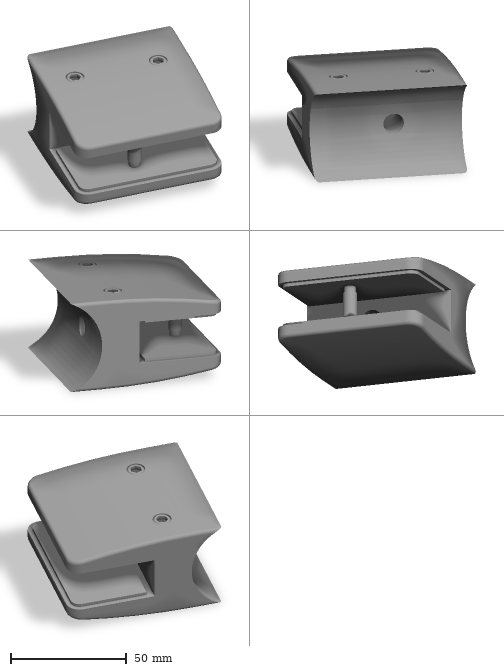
import cadquery as cq
import math

length = 68.65
width = 67.0
height = 40.0
half_height = height / 2

saddle_depth = 13.7
crown_start = saddle_depth
crown_drop = 5.15
corner_radius = 6.0
edge_radius = 1.5

gap_start = 30.55
gap_height = 19.2
half_gap = gap_height / 2

pad_thickness = 1.45
pad_start = 33.6
pad_margin = 2.0
pad_corner_radius = corner_radius - pad_margin

bore_diameter = 9.0
pin_x = 55.6
bore_y = -3.4
pin_diameter = 5.0
pin_length = gap_height - 2 * pad_thickness
collar_diameter = 6.0
collar_length = 10.9

screw_x = 22.7
screw_spacing = 38.05
screw_diameter = 8.0
screw_top = 19.85
screw_length = screw_top
screw_chamfer = 0.7
socket_corner_diameter = 5.3
socket_depth = 2.0
socket_turn = 10.0
screw_sides = (-1, 1)


def crown_radius():
    """Radius of the arc that leaves the flat tangentially and falls by crown_drop."""
    run = length - crown_start
    return (run**2 + crown_drop**2) / (2 * crown_drop)


def crown_height(x):
    """Half height of the clamp on its crown at the given X."""
    radius = crown_radius()
    return half_height - radius + math.sqrt(radius**2 - (x - crown_start) ** 2)


def screw_y(side):
    return side * screw_spacing / 2


def box_between(x_start, x_end, y_size, z_start, z_end):
    """Box centred on Y = 0."""
    return (
        cq.Workplane("XY", origin=((x_start + x_end) / 2, 0, z_start))
        .rect(x_end - x_start, y_size)
        .extrude(z_end - z_start)
    )


def upright_cylinder(x, y, diameter, z_start, z_end):
    return cq.Workplane("XY", origin=(x, y, z_start)).circle(diameter / 2).extrude(z_end - z_start)


def crowned_block():
    """Block with crowned top and bottom, rounded corners and rounded outside edges."""
    crown_mid_x = (crown_start + length) / 2
    crown_mid_z = crown_height(crown_mid_x)
    end_z = half_height - crown_drop
    block = (
        cq.Workplane("XZ", origin=(0, width / 2, 0))
        .moveTo(0, -half_height)
        .lineTo(crown_start, -half_height)
        .threePointArc((crown_mid_x, -crown_mid_z), (length, -end_z))
        .lineTo(length, end_z)
        .threePointArc((crown_mid_x, crown_mid_z), (crown_start, half_height))
        .lineTo(0, half_height)
        .close()
        .extrude(width)
    )
    block = block.edges("|Z and >X").fillet(corner_radius)
    for side in (-1, 1):
        start_edge = cq.selectors.NearestToPointSelector((crown_start / 2, -width / 2, side * half_height))
        block = block.edges(start_edge).fillet(edge_radius)
    return block


def saddle_cutter():
    """Cylinder along Y through both saddle tips and the deepest point of the saddle."""
    radius = (half_height**2 + saddle_depth**2) / (2 * saddle_depth)
    return (
        cq.Workplane("XZ", origin=(saddle_depth - radius, width / 2, 0))
        .circle(radius)
        .extrude(width)
    )


def bore_cutter():
    return cq.Workplane("YZ", origin=(0, bore_y, 0)).circle(bore_diameter / 2).extrude(gap_start)


def make_clamp():
    """Whole clamp before it is parted into its two jaws."""
    gap = box_between(gap_start, length, width, -half_gap, half_gap)
    screw_tip = screw_top - screw_length
    clamp = crowned_block().cut(saddle_cutter()).cut(gap).cut(bore_cutter())
    for side in screw_sides:
        screw_hole = upright_cylinder(screw_x, screw_y(side), screw_diameter, screw_tip, half_height)
        clamp = clamp.cut(screw_hole)
    return clamp


def make_upper_jaw():
    return make_clamp().intersect(box_between(0, length, width, half_gap, half_height))


def make_lower_jaw():
    return make_clamp().intersect(box_between(0, length, width, -half_height, half_gap))


def make_pad(z_start):
    pad_end = length - pad_margin
    pad_width = width - 2 * pad_margin
    pad = box_between(pad_start, pad_end, pad_width, z_start, z_start + pad_thickness)
    return pad.edges("|Z and >X").fillet(pad_corner_radius)


def make_pin():
    """Pin standing between the pads, with a thicker collar at mid length."""
    stem = upright_cylinder(pin_x, bore_y, pin_diameter, -pin_length / 2, pin_length / 2)
    collar = upright_cylinder(pin_x, bore_y, collar_diameter, -collar_length / 2, collar_length / 2)
    return stem.union(collar)


def make_screw(side):
    """Headless screw with a chamfered top and a hexagon socket."""
    y = screw_y(side)
    body = upright_cylinder(screw_x, y, screw_diameter, screw_top - screw_length, screw_top)
    body = body.faces(">Z").chamfer(screw_chamfer)
    socket = (
        cq.Workplane("XY", origin=(screw_x, y, screw_top - socket_depth))
        .transformed(rotate=(0, 0, 90 + side * socket_turn))
        .polygon(6, socket_corner_diameter)
        .extrude(socket_depth)
    )
    return body.cut(socket)


upper_jaw = make_upper_jaw()
lower_jaw = make_lower_jaw()
pads = [make_pad(z_start) for z_start in (-half_gap, half_gap - pad_thickness)]
pin = make_pin()
screws = [make_screw(side) for side in screw_sides]

result = cq.Compound.makeCompound(
    [
        upper_jaw.val(),
        lower_jaw.val(),
        *[pad.val() for pad in pads],
        pin.val(),
        *[screw.val() for screw in screws],
    ]
)